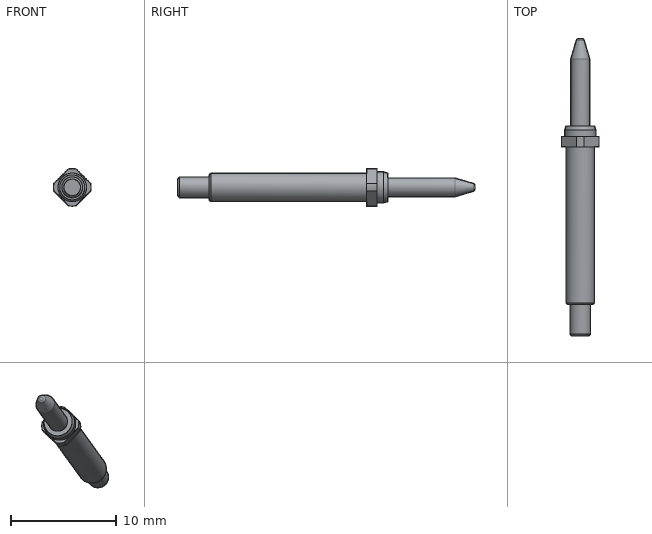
import cadquery as cq


total_length = 28.3
cone_end = 1.92
collar_start = 8.3
collar_taper_length = 0.42
flange_start = 9.3
flange_thickness = 1.0
tail_length = 3.0

tip_radius = 0.35
plunger_radius = 0.9
collar_front_radius = 1.35
collar_radius = 1.5
barrel_radius = 1.35
tail_radius = 1.0

tip_fillet = 0.23
barrel_chamfer = 0.17
tail_chamfer = 0.2

flange_diameter = 3.6
flange_across_flats = 2 * collar_radius

tip_y = total_length / 2
flange_end = flange_start + flange_thickness
barrel_end = total_length - tail_length
joint_overlap = 0.28


def plane_at(distance_from_tip):
    """Cross-section plane facing the tail, so that extrusions run away from the tip."""
    return cq.Workplane("XZ", origin=(0, tip_y - distance_from_tip, 0))


def cylinder(radius, front, back):
    return plane_at(front).circle(radius).extrude(back - front)


def make_plunger():
    plunger_back = tip_y - collar_start - joint_overlap
    outline = (
        cq.Workplane("XY")
        .moveTo(0, tip_y)
        .lineTo(tip_radius, tip_y)
        .lineTo(plunger_radius, tip_y - cone_end)
        .lineTo(plunger_radius, plunger_back)
        .lineTo(0, plunger_back)
        .close()
    )
    plunger = outline.revolve(360, (0, 0, 0), (0, 1, 0))
    return plunger.faces(">Y").edges().fillet(tip_fillet)


def make_collar():
    collar = cylinder(collar_radius, collar_start, flange_end)
    taper_depth = collar_radius - collar_front_radius
    return collar.faces(">Y").chamfer(collar_taper_length, taper_depth)


def make_flange():
    section = plane_at(flange_start).rect(flange_across_flats, flange_across_flats)
    square = section.extrude(flange_thickness)
    square = square.rotate((0, 0, 0), (0, 1, 0), 45)
    return square.intersect(cylinder(flange_diameter / 2, flange_start, flange_end))


def make_barrel():
    barrel = cylinder(barrel_radius, flange_start, barrel_end)
    return barrel.faces("<Y").chamfer(barrel_chamfer)


def make_tail():
    tail = cylinder(tail_radius, barrel_end - joint_overlap, total_length)
    return tail.faces("<Y").chamfer(tail_chamfer)


result = (
    make_plunger()
    .union(make_collar())
    .union(make_flange())
    .union(make_barrel())
    .union(make_tail())
)